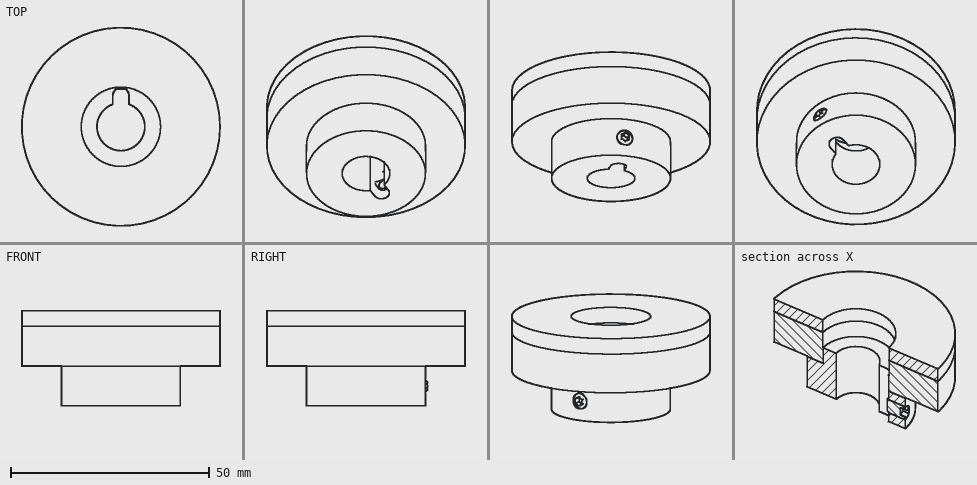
import cadquery as cq
import math

outer_diameter = 50
bore_diameter = 20
hub_diameter = 30
hub_height = 10
ring_height = 10
facing_height = 4
spigot_height = 5

shaft_diameter = 12
keyway_width = 4
keyway_depth_radius = 9.85

screw_diameter = 4
screw_inner_face_diameter = 3.3
screw_inner_end = 9.5
screw_outer_end = 15.5
screw_outer_chamfer = 1
screw_inner_chamfer = (screw_diameter - screw_inner_face_diameter) / 2
socket_across_flats = 2
socket_depth = 2
socket_turn = 30
screw_z = hub_height / 2


def make_annulus(height, base_z):
    """Flat ring with the common outer and bore diameters."""
    return (
        cq.Workplane("XY", origin=(0, 0, base_z))
        .circle(outer_diameter / 2)
        .circle(bore_diameter / 2)
        .extrude(height)
    )


def make_set_screw():
    """Screw chamfered at both ends, with a hex socket in its outer end."""
    body = (
        cq.Workplane("XZ", origin=(0, screw_inner_end, screw_z))
        .circle(screw_diameter / 2)
        .extrude(screw_inner_end - screw_outer_end)
        .edges(">Y")
        .chamfer(screw_outer_chamfer)
        .edges("<Y")
        .chamfer(screw_inner_chamfer)
    )
    across_corners = socket_across_flats / math.cos(math.pi / 6)
    socket = (
        cq.Workplane("XZ", origin=(0, screw_outer_end, screw_z))
        .transformed(rotate=(0, 0, socket_turn))
        .polygon(6, across_corners)
        .extrude(socket_depth)
    )
    return body.cut(socket)


def make_keyway_cutter(height):
    """Slot from the axis to a round end on the +Y side."""
    half_width = keyway_width / 2
    round_center = keyway_depth_radius - half_width
    return (
        cq.Workplane("XY")
        .moveTo(-half_width, 0)
        .lineTo(half_width, 0)
        .lineTo(half_width, round_center)
        .threePointArc((0, keyway_depth_radius), (-half_width, round_center))
        .close()
        .extrude(height)
    )


def make_hub():
    """Hub with a spigot, a keyed shaft hole and a radial screw hole."""
    total_height = hub_height + spigot_height
    body = cq.Workplane("XY").circle(hub_diameter / 2).extrude(hub_height)
    body = body.union(cq.Workplane("XY").circle(bore_diameter / 2).extrude(total_height))
    shaft_hole = cq.Workplane("XY").circle(shaft_diameter / 2).extrude(total_height)
    screw_hole = (
        cq.Workplane("XZ", origin=(0, 0, screw_z))
        .circle(screw_diameter / 2)
        .extrude(-hub_diameter / 2)
    )
    return body.cut(shaft_hole).cut(make_keyway_cutter(total_height)).cut(screw_hole)


hub = make_hub()
ring = make_annulus(ring_height, hub_height)
facing = make_annulus(facing_height, hub_height + ring_height)
set_screw = make_set_screw()

result = cq.Compound.makeCompound([hub.val(), ring.val(), facing.val(), set_screw.val()])